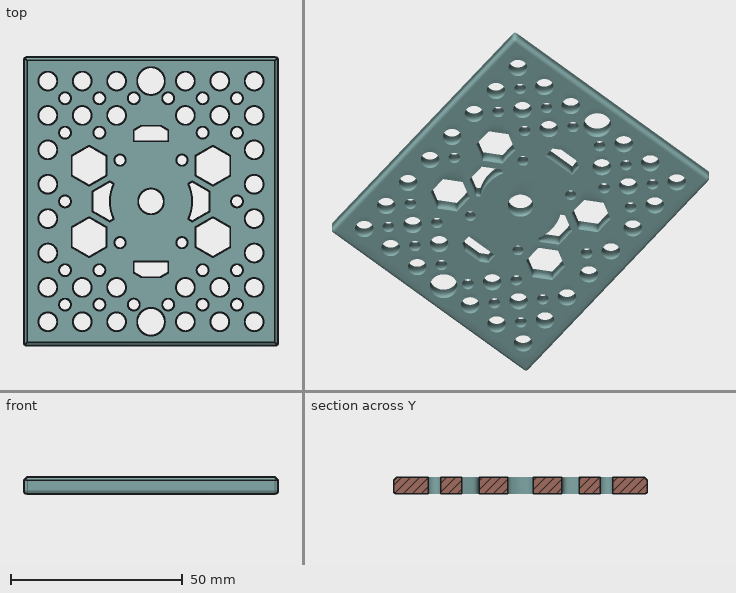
import cadquery as cq
import math

PLATE_WIDTH = 74.0
PLATE_LENGTH = 84.0
PLATE_THICKNESS = 5.0
EDGE_RADIUS = 1.0
EDGE_CHAMFER = 1.0

GRID_PITCH = 10.0
LARGE_HOLE_DIAMETER = 5.4
SMALL_HOLE_DIAMETER = 3.4

LARGE_HOLE_ROWS = {
    3.5: [1, 2, 3],
    2.5: [1, 2, 3],
    1.5: [3],
    0.5: [3],
}
SMALL_HOLE_ROWS = {
    3.0: [0.5, 1.5, 2.5],
    2.0: [1.5, 2.5],
    0.0: [2.5],
}

END_HOLE_DIAMETER = 8.0
END_HOLE_Y = max(LARGE_HOLE_ROWS) * GRID_PITCH

CENTRE_HOLE_DIAMETER = 7.4
HUB_RADIUS = 12.0
HUB_SCREW_DIAMETER = 3.2
HUB_SCREW_X = 9.0
HUB_SCREW_Y = 12.0

HEX_ACROSS_FLATS = 10.0
HEX_PITCH = 12.0
HEX_SLANT = math.radians(30)
HEX_CORNER_DIAMETER = HEX_ACROSS_FLATS / math.cos(HEX_SLANT)
HEX_COLUMN_X = 1.5 * HEX_PITCH
HEX_ROW_Y = HEX_PITCH * math.cos(HEX_SLANT)

SLOT_INNER_Y = 17.5
SLOT_OUTER_Y = 22.0
SLOT_WIDTH = HEX_ACROSS_FLATS
SLOT_CORNER_RISE = 1.3
SLOT_CORNER_RUN = SLOT_CORNER_RISE / math.tan(HEX_SLANT)


def mirrored_points(x, y):
    """Distinct mirror images of a point about the X and Y axes."""
    return sorted({(sx * x, sy * y) for sx in (1, -1) for sy in (1, -1)})


def make_plate():
    """Plate with rounded sides and lower rim, and a straight bevel around the top face."""
    blank = cq.Workplane("XY").box(
        PLATE_WIDTH, PLATE_LENGTH, PLATE_THICKNESS, centered=(True, True, False)
    )
    rounded = blank.edges("|Z or <Z").fillet(EDGE_RADIUS)
    bevelled = blank.faces(">Z").chamfer(EDGE_CHAMFER)
    return rounded.intersect(bevelled)


def round_cutter(points, diameter):
    return cq.Workplane("XY").pushPoints(points).circle(diameter / 2).extrude(PLATE_THICKNESS)


def grid_holes(rows, diameter):
    """Cutter for the given rows of the grid, mirrored into all quadrants."""
    points = []
    for row, columns in rows.items():
        for column in columns:
            points += mirrored_points(column * GRID_PITCH, row * GRID_PITCH)
    return round_cutter(points, diameter)


def end_holes():
    return round_cutter(mirrored_points(0, END_HOLE_Y), END_HOLE_DIAMETER)


def hub_holes():
    centre = round_cutter([(0, 0)], CENTRE_HOLE_DIAMETER)
    screws = round_cutter(mirrored_points(HUB_SCREW_X, HUB_SCREW_Y), HUB_SCREW_DIAMETER)
    return centre.union(screws)


def hexagon(x, y):
    """Hexagonal prism with two flats facing along X."""
    prism = cq.Workplane("XY").polygon(6, HEX_CORNER_DIAMETER).extrude(PLATE_THICKNESS)
    return prism.rotate((0, 0, 0), (0, 0, 1), math.degrees(HEX_SLANT)).translate((x, y, 0))


def honeycomb_openings():
    """Four whole hexagons, and two beside the hub that keep clear of its circle."""
    hub = round_cutter([(0, 0)], 2 * HUB_RADIUS)
    openings = hexagon(HEX_PITCH, 0).union(hexagon(-HEX_PITCH, 0)).cut(hub)
    for x, y in mirrored_points(HEX_COLUMN_X, HEX_ROW_Y):
        openings = openings.union(hexagon(x, y))
    return openings


def slots():
    """Slots whose two outer corners are cut off at a slant."""
    half_width = SLOT_WIDTH / 2
    outline = [
        (-half_width, SLOT_INNER_Y),
        (half_width, SLOT_INNER_Y),
        (half_width, SLOT_OUTER_Y - SLOT_CORNER_RISE),
        (half_width - SLOT_CORNER_RUN, SLOT_OUTER_Y),
        (SLOT_CORNER_RUN - half_width, SLOT_OUTER_Y),
        (-half_width, SLOT_OUTER_Y - SLOT_CORNER_RISE),
    ]
    slot = cq.Workplane("XY").polyline(outline).close().extrude(PLATE_THICKNESS)
    return slot.union(slot.mirror("XZ"))


result = make_plate()
for opening in (
    grid_holes(LARGE_HOLE_ROWS, LARGE_HOLE_DIAMETER),
    grid_holes(SMALL_HOLE_ROWS, SMALL_HOLE_DIAMETER),
    end_holes(),
    hub_holes(),
    honeycomb_openings(),
    slots(),
):
    result = result.cut(opening)